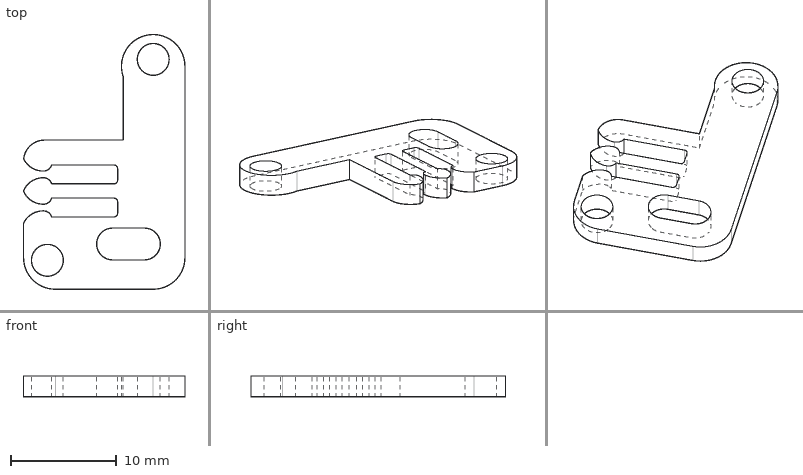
import cadquery as cq
import math

width = 15.3
length = 24.15
thickness = 2.0
corner_radius = 3.02

arm_left = 9.45
head_x = width - corner_radius
head_y = length - corner_radius

comb_top = 14.15
comb_nose_radius = 2.0
gap_height = 1.76
gap_start = 2.68
gap_end = 8.9
gap_corner_radius = 0.35
upper_gap_y = 10.89
lower_gap_y = 7.75
throat_height = 0.6
peak_x = 1.88
outer_tip_drop = 1.18

hole_diameter = 3.0
head_hole = (head_x, 21.77)
base_hole = (2.27, 2.75)
slot_center = (9.95, 4.3)
slot_length = 6.0


def arc_point(center, radius, degrees):
    angle = math.radians(degrees)
    return (center[0] + radius * math.cos(angle), center[1] + radius * math.sin(angle))


def make_plate():
    """Solid outline of base, comb block and arm, before the gaps are cut."""
    head_drop = math.sqrt(corner_radius**2 - (head_x - arm_left) ** 2)
    head_top = (head_x, length)
    nose_center = (comb_nose_radius, comb_top - comb_nose_radius)
    base_left = (corner_radius, corner_radius)
    base_right = (width - corner_radius, corner_radius)
    outline = (
        cq.Workplane("XY")
        .moveTo(corner_radius, 0)
        .lineTo(width - corner_radius, 0)
        .threePointArc(arc_point(base_right, corner_radius, -45), (width, corner_radius))
        .lineTo(width, head_y)
        .threePointArc(head_top, (arm_left, head_y - head_drop))
        .lineTo(arm_left, comb_top)
        .lineTo(comb_nose_radius, comb_top)
        .threePointArc(arc_point(nose_center, comb_nose_radius, 135), (0, nose_center[1]))
        .lineTo(0, corner_radius)
        .threePointArc(arc_point(base_left, corner_radius, 225), (corner_radius, 0))
        .close()
    )
    return outline.extrude(thickness)


def peak_arc(sketch, peak, end, finish):
    """Draw to `finish` along the arc through `peak` and `end` that is level at `peak`."""
    run = end[0] - peak[0]
    rise = end[1] - peak[1]
    radius = (run**2 + rise**2) / (2 * rise)
    half_turn = math.atan2(rise, abs(run))
    middle = (
        peak[0] + math.copysign(abs(radius) * math.sin(abs(half_turn)), run),
        peak[1] + radius * (1 - math.cos(half_turn)),
    )
    return sketch.threePointArc(middle, finish)


def make_gap(center_y, upper_tip_y, lower_tip_y):
    """Gap between two fingers, narrowed by their bulges and flaring to their tips."""
    top = center_y + gap_height / 2
    bottom = center_y - gap_height / 2
    upper_peak = (peak_x, center_y + throat_height / 2)
    lower_peak = (peak_x, center_y - throat_height / 2)
    upper_tip = (0, upper_tip_y)
    lower_tip = (0, lower_tip_y)
    upper_neck = (gap_start, top)
    lower_neck = (gap_start, bottom)

    sketch = cq.Workplane("XY").moveTo(*upper_tip)
    sketch = peak_arc(sketch, upper_peak, upper_tip, upper_peak)
    sketch = peak_arc(sketch, upper_peak, upper_neck, upper_neck)
    sketch = sketch.lineTo(gap_end, top).lineTo(gap_end, bottom).lineTo(*lower_neck)
    sketch = peak_arc(sketch, lower_peak, lower_neck, lower_peak)
    sketch = peak_arc(sketch, lower_peak, lower_tip, lower_tip)
    gap = sketch.close().extrude(thickness)
    return gap.edges("|Z and >X").fillet(gap_corner_radius)


def make_openings():
    """Two round holes and one straight slot through the plate."""
    holes = cq.Workplane("XY").pushPoints([head_hole, base_hole]).circle(hole_diameter / 2)
    slot = cq.Workplane("XY").center(*slot_center).slot2D(slot_length, hole_diameter)
    return holes.extrude(thickness).union(slot.extrude(thickness))


top_tip_y = upper_gap_y + throat_height / 2 + outer_tip_drop
middle_tip_y = (upper_gap_y + lower_gap_y) / 2
bottom_tip_y = lower_gap_y - throat_height / 2 - outer_tip_drop

result = (
    make_plate()
    .cut(make_gap(upper_gap_y, top_tip_y, middle_tip_y))
    .cut(make_gap(lower_gap_y, middle_tip_y, bottom_tip_y))
    .cut(make_openings())
)